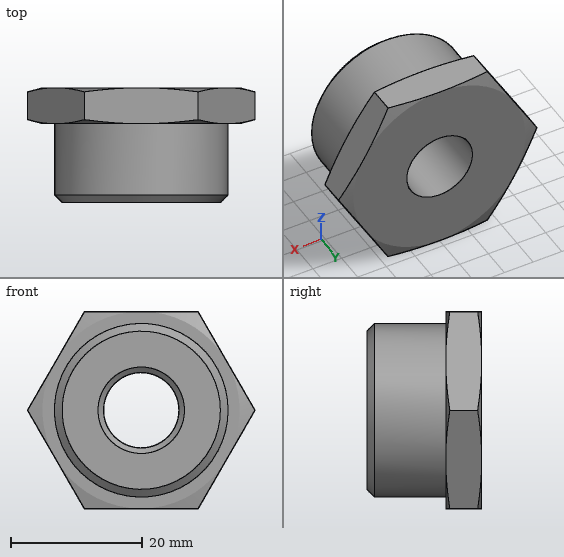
import cadquery as cq
import math

across_corners = 34.65
across_flats = across_corners * math.cos(math.radians(30))
head_thickness = 5.47
corner_bevel_angle = 15.0

total_length = 17.5
body_diameter = 26.43
body_chamfer = 1.18

bore_diameter = 11.43
countersink_diameter = 13.15
countersink_depth = (countersink_diameter - bore_diameter) / 2

head_start = total_length - head_thickness


def revolve_about_y(points):
    """Revolve a closed (radius, Y) outline about the Y axis."""
    return cq.Workplane("XY").polyline(points).close().revolve(360, (0, 0, 0), (0, 1, 0))


def make_head():
    """Hexagon with corners on the X axis, bevelled conically on both faces."""
    hexagon = (
        cq.Workplane("XZ", origin=(0, total_length, 0))
        .polygon(6, across_corners)
        .extrude(head_thickness)
    )
    face_radius = across_flats / 2
    corner_radius = across_corners / 2
    bevel_drop = (corner_radius - face_radius) * math.tan(math.radians(corner_bevel_angle))
    bevel_envelope = revolve_about_y([
        (0, head_start),
        (face_radius, head_start),
        (corner_radius, head_start + bevel_drop),
        (corner_radius, total_length - bevel_drop),
        (face_radius, total_length),
        (0, total_length),
    ])
    return hexagon.intersect(bevel_envelope)


def make_body():
    """Cylinder with a chamfered free end, joined to the head."""
    body_radius = body_diameter / 2
    return revolve_about_y([
        (0, 0),
        (body_radius - body_chamfer, 0),
        (body_radius, body_chamfer),
        (body_radius, head_start),
        (0, head_start),
    ])


def make_bore():
    """Through bore with its countersink at the body end."""
    return revolve_about_y([
        (0, 0),
        (countersink_diameter / 2, 0),
        (bore_diameter / 2, countersink_depth),
        (bore_diameter / 2, total_length),
        (0, total_length),
    ])


result = make_head().union(make_body()).cut(make_bore())